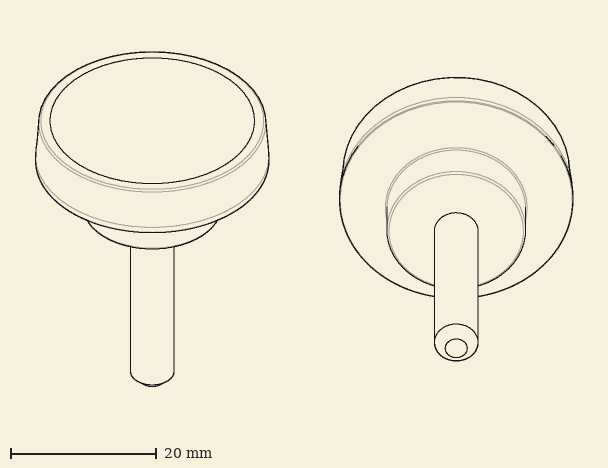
import cadquery as cq

total_height = 48.0
stud_length = 30.0
hub_height = 6.0
underside_rise = 2.0
band_height = 0.95
dome_height = 3.0

stud_radius = 6.0 / 2
hub_radius = 19.0 / 2
head_radius = 32.0 / 2
rim_top_radius = 15.55
dome_radius = 14.0

tip_chamfer = 1.5
edge_radius = 0.3
band_edge_radius = 0.15

hub_top = stud_length + hub_height
band_bottom = hub_top + underside_rise
band_top = band_bottom + band_height
rim_top = total_height - dome_height

dome_sphere_radius = (dome_radius**2 + dome_height**2) / (2 * dome_height)
dome_mid_radius = dome_radius / 2
dome_center = total_height - dome_sphere_radius
dome_mid_height = dome_center + (dome_sphere_radius**2 - dome_mid_radius**2) ** 0.5


def make_head():
    """Hub, conical underside, tapered grip and domed top as one revolved half profile."""
    profile = (
        cq.Workplane("XZ")
        .moveTo(0, stud_length)
        .lineTo(hub_radius, stud_length)
        .lineTo(hub_radius, hub_top)
        .lineTo(head_radius, band_bottom)
        .lineTo(head_radius, band_top)
        .lineTo(rim_top_radius, rim_top)
        .lineTo(dome_radius, rim_top)
        .threePointArc((dome_mid_radius, dome_mid_height), (0, total_height))
        .close()
    )
    return profile.revolve(360, (0, 0, 0), (0, 1, 0))


def edges_at(body, radius, level):
    """Select the circular edge with the given radius and level."""
    reach = 0.05
    low = (-radius - reach, -radius - reach, level - reach)
    high = (radius + reach, radius + reach, level + reach)
    return body.edges(cq.selectors.BoxSelector(low, high, boundingbox=True))


def round_head_edges(head):
    """Soften the hub's lower rim, the hub neck, the widest edge and the grip's upper rim."""
    rounded_edges = (
        (hub_radius, stud_length, edge_radius),
        (hub_radius, hub_top, edge_radius),
        (head_radius, band_bottom, band_edge_radius),
    )
    for radius, level, rounding in rounded_edges:
        head = edges_at(head, radius, level).fillet(rounding)
    top_edges = edges_at(head, rim_top_radius, rim_top)
    return top_edges.edges(cq.selectors.RadiusNthSelector(-1)).fillet(edge_radius)


def make_stud():
    """Plain round stud with a chamfered tip."""
    stud = cq.Workplane("XY").circle(stud_radius).extrude(stud_length)
    return stud.faces("<Z").chamfer(tip_chamfer)


result = make_stud().union(round_head_edges(make_head()))